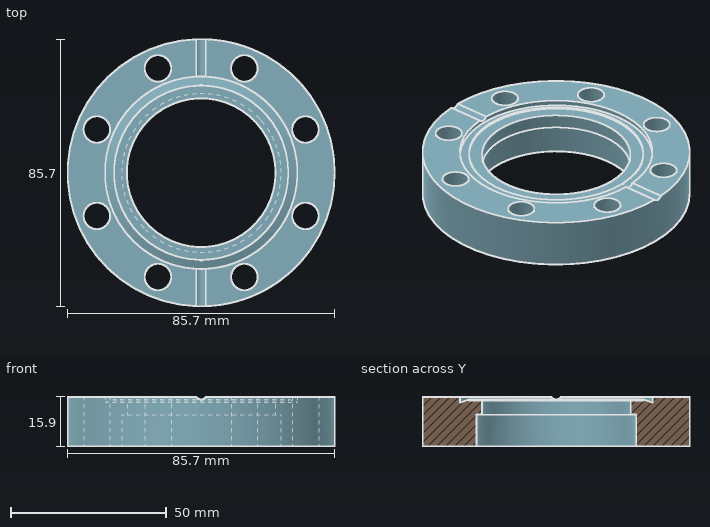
import cadquery as cq
import math

flange_diameter = 85.72
thickness = 15.88

throat_diameter = 47.62
socket_diameter = 51.05
throat_bottom_depth = 5.7

knife_diameter = 55.88
recess_diameter = 61.75
knife_depth = 0.68
inner_face_depth = 1.17
knife_slope_degrees = 20

bolt_count = 8
bolt_hole_diameter = 8.43
bolt_circle_diameter = 72.39

channel_width = 3.1
channel_depth = 0.77


def flange_ring():
    """Revolve the flange section, including the stepped bore and the knife edge."""
    outer_radius = flange_diameter / 2
    throat_radius = throat_diameter / 2
    socket_radius = socket_diameter / 2
    knife_radius = knife_diameter / 2
    recess_radius = recess_diameter / 2

    slope_drop = (recess_radius - knife_radius) * math.tan(math.radians(knife_slope_degrees))
    knife_z = thickness - knife_depth
    groove_z = knife_z - slope_drop
    inner_face_z = thickness - inner_face_depth
    step_z = thickness - throat_bottom_depth

    section = (
        cq.Workplane("XZ")
        .moveTo(socket_radius, 0)
        .lineTo(outer_radius, 0)
        .lineTo(outer_radius, thickness)
        .lineTo(recess_radius, thickness)
        .lineTo(recess_radius, groove_z)
        .lineTo(knife_radius, knife_z)
        .lineTo(knife_radius, inner_face_z)
        .lineTo(throat_radius, inner_face_z)
        .lineTo(throat_radius, step_z)
        .lineTo(socket_radius, step_z)
        .close()
    )
    return section.revolve(360, (0, 0, 0), (0, 1, 0))


def bolt_holes():
    """Through holes straddling the X and Y axes."""
    half_pitch_degrees = 180 / bolt_count
    return (
        cq.Workplane("XY")
        .polarArray(bolt_circle_diameter / 2, half_pitch_degrees, 360, bolt_count)
        .circle(bolt_hole_diameter / 2)
        .extrude(thickness)
    )


def leak_channels():
    """One cylinder along Y that cuts both channels on opposite sides of the ring."""
    radius = (channel_width**2 / 4 + channel_depth**2) / (2 * channel_depth)
    axis_z = thickness - channel_depth + radius
    return (
        cq.Workplane("XZ")
        .center(0, axis_z)
        .circle(radius)
        .extrude(flange_diameter / 2, both=True)
    )


result = flange_ring().cut(bolt_holes()).cut(leak_channels())